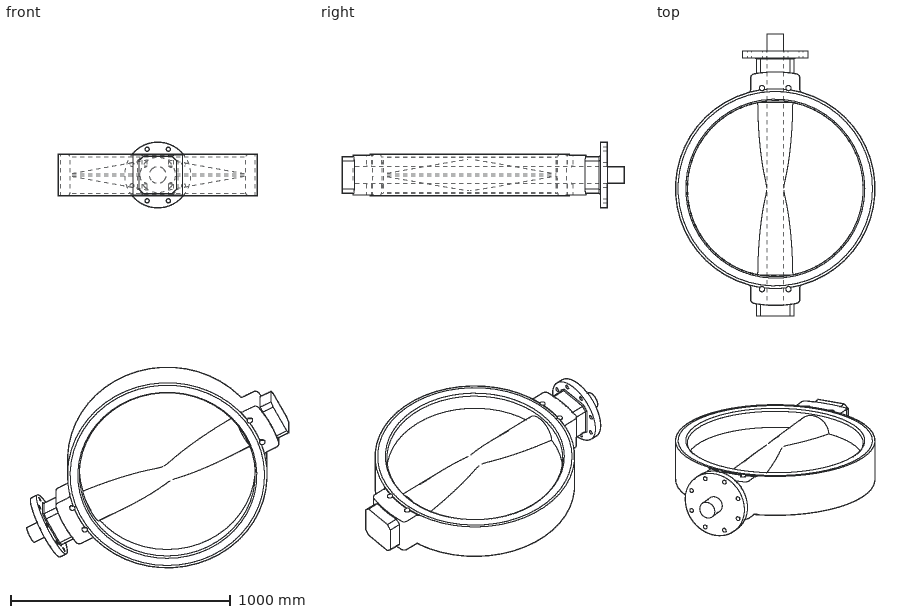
import cadquery as cq
import math


ring_radius = 454.0
ring_half_height = 95.0

liner_outer_radius = 442.0
bore_radius = 400.0
bore_chamfer_width = 7.0
bore_chamfer_height = 12.0

boss_width = 225.0
boss_height = 182.0
boss_end_radius = 531.0
boss_corner_fillet = 20.0
boss_root_fillet = 12.0

bolt_circle_radius = 461.0
bolt_half_spacing_angle = 7.5
bolt_hole_radius = 12.0
bolt_hole_depth = 50.0
drill_point_angle = 118.0

neck_width = 172.0
neck_height = 168.0
neck_chamfer = 20.0
bottom_neck_end = -580.0

flange_diameter = 300.0
flange_thickness = 32.0
flange_end = 626.0
flange_start = flange_end - flange_thickness
flange_root_chamfer = 5.0
flange_hole_count = 8
flange_hole_diameter = 18.0
flange_hole_circle_radius = 127.0

hub_diameter = 160.0
disc_edge_half_thickness = 5.0
disc_center_half_thickness = 77.0

shaft_diameter = 76.0
shaft_outer_end = 704.0
shaft_inner_end = -boss_end_radius


def plane_across_y(y):
    """Plane facing +Y at the given place along the shaft axis."""
    return cq.Plane(origin=(0, y, 0), xDir=(1, 0, 0), normal=(0, 1, 0))


def cylinder_along_y(diameter, start, end):
    return cq.Workplane(plane_across_y(start)).circle(diameter / 2).extrude(end - start)


def cylinder_along_z(radius, half_height):
    return cq.Workplane("XY").circle(radius).extrude(half_height, both=True)


def revolve_about_z(profile):
    """Solid of revolution from (radius, z) points."""
    return cq.Workplane("XZ").polyline(profile).close().revolve(360, (0, 0, 0), (0, 1, 0))


def make_shaft():
    return cylinder_along_y(shaft_diameter, shaft_inner_end, shaft_outer_end)


def make_ring_with_bosses():
    boss_bar = cq.Workplane("XY").box(boss_width, 2 * boss_end_radius, boss_height)
    bosses = boss_bar.intersect(cylinder_along_z(boss_end_radius, boss_height))
    bosses = bosses.edges("|Z").fillet(boss_corner_fillet)
    body = cylinder_along_z(ring_radius, ring_half_height).union(bosses)
    boss_roots = cq.selectors.BoxSelector(
        (-boss_width, -ring_radius, -ring_half_height),
        (boss_width, ring_radius, ring_half_height),
    )
    return body.edges("|Z").edges(boss_roots).fillet(boss_root_fillet)


def make_necks():
    """Chamfered bar running the full length through the bosses, with the flange on its +Y end."""
    bar = (
        cq.Workplane(plane_across_y(bottom_neck_end))
        .rect(neck_width, neck_height)
        .extrude(flange_start - bottom_neck_end)
        .edges("|Y")
        .chamfer(neck_chamfer)
    )
    flange = cylinder_along_y(flange_diameter, flange_start, flange_end)
    flange_root = cq.selectors.BoxSelector(
        (-neck_width, flange_start - 1, -neck_height),
        (neck_width, flange_start + 1, neck_height),
    )
    necks = bar.union(flange)
    return necks.edges(flange_root).edges("not %CIRCLE").chamfer(flange_root_chamfer)


def make_flange_holes():
    return (
        cq.Workplane(plane_across_y(flange_start))
        .polarArray(flange_hole_circle_radius, 180 / flange_hole_count, 360, flange_hole_count)
        .circle(flange_hole_diameter / 2)
        .extrude(flange_thickness)
    )


def make_bolt_drills():
    """Holes with conical bottoms on the Z axis, one for each boss face."""
    face_z = boss_height / 2
    floor_z = face_z - bolt_hole_depth
    tip_z = floor_z - bolt_hole_radius / math.tan(math.radians(drill_point_angle / 2))
    profile = [
        (0, tip_z),
        (bolt_hole_radius, floor_z),
        (bolt_hole_radius, ring_half_height),
        (0, ring_half_height),
    ]
    upper_drill = revolve_about_z(profile)
    return upper_drill, upper_drill.mirror("XY")


def make_housing():
    housing = make_ring_with_bosses().union(make_necks())
    housing = housing.cut(cylinder_along_z(liner_outer_radius, ring_half_height))
    housing = housing.cut(make_flange_holes())
    for drill in make_bolt_drills():
        for boss_angle in (90, 270):
            for offset in (-bolt_half_spacing_angle, bolt_half_spacing_angle):
                angle = math.radians(boss_angle + offset)
                x = bolt_circle_radius * math.cos(angle)
                y = bolt_circle_radius * math.sin(angle)
                housing = housing.cut(drill.translate((x, y, 0)))
    return housing.cut(make_shaft())


def make_liner():
    mouth_radius = bore_radius + bore_chamfer_width
    straight_half_height = ring_half_height - bore_chamfer_height
    profile = [
        (liner_outer_radius, -ring_half_height),
        (liner_outer_radius, ring_half_height),
        (mouth_radius, ring_half_height),
        (bore_radius, straight_half_height),
        (bore_radius, -straight_half_height),
        (mouth_radius, -ring_half_height),
    ]
    return revolve_about_z(profile).cut(make_shaft())


def make_disc():
    profile = [
        (0, -disc_center_half_thickness),
        (bore_radius, -disc_edge_half_thickness),
        (bore_radius, disc_edge_half_thickness),
        (0, disc_center_half_thickness),
    ]
    hub = cylinder_along_y(hub_diameter, -bore_radius, bore_radius)
    disc_sphere = cq.Workplane("XY").sphere(bore_radius)
    return revolve_about_z(profile).union(hub).intersect(disc_sphere).cut(make_shaft())


housing = make_housing()
liner = make_liner()
disc = make_disc()
shaft = make_shaft()

bodies = [housing, liner, disc, shaft]
result = cq.Compound.makeCompound([body.solids().val() for body in bodies])